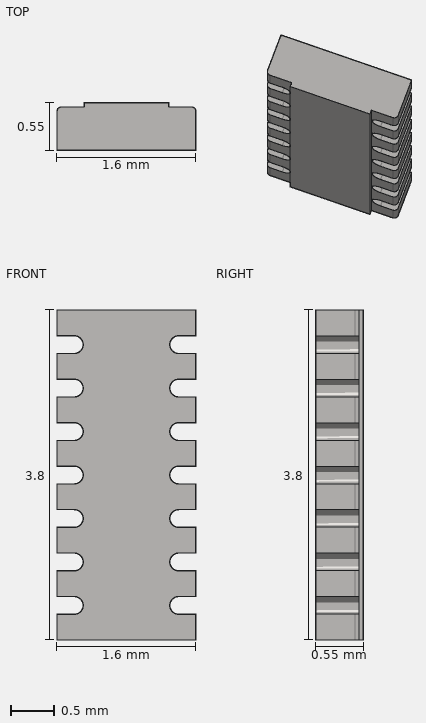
import cadquery as cq

height = 3.8
width = 1.6
thickness = 0.55

plate_width = 0.975
plate_thickness = 0.05
body_thickness = thickness - plate_thickness
back_edge_radius = 0.05

notch_count = 7
notch_width = 0.2
notch_depth = 0.3

terminal_width = (height - notch_count * notch_width) / (notch_count + 1)
notch_pitch = terminal_width + notch_width


def make_body():
    """Upright block with its two long back edges rounded."""
    block = cq.Workplane("XY").box(width, body_thickness, height)
    return block.edges("|Z and >Y").fillet(back_edge_radius)


def make_plate():
    """Full-height plate standing on the back of the body."""
    plate = cq.Workplane("XY").box(plate_width, plate_thickness, height)
    return plate.translate((0, (body_thickness + plate_thickness) / 2, 0))


def make_notches():
    """Both rows of notches, cut through the body along Y."""
    first_z = -notch_pitch * (notch_count - 1) / 2
    centers = [
        (side * width / 2, first_z + i * notch_pitch)
        for side in (-1, 1)
        for i in range(notch_count)
    ]
    return (
        cq.Workplane("XZ")
        .pushPoints(centers)
        .slot2D(2 * notch_depth, notch_width)
        .extrude(thickness, both=True)
    )


body = make_body().cut(make_notches())
result = body.union(make_plate())